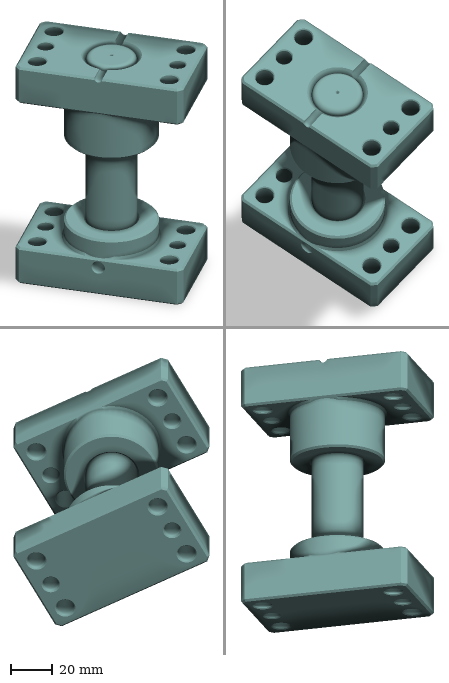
import cadquery as cq
HEIGHT = 120.2
PLATE_LENGTH = 84.0
PLATE_WIDTH = 48.0
PLATE_THICKNESS = 20.0
CORNER_CHAMFER = 2.4
EDGE_CHAMFER = 1.0

PIN_RADIUS = 12.5
PIN_END_FILLET = 3.0
CENTRE_RADIUS = 1.0

BOSS_RADIUS = PLATE_WIDTH / 2 - EDGE_CHAMFER
LOWER_BOSS_HEIGHT = 10.1
UPPER_BOSS_HEIGHT = 25.0
FLARE_WIDTH = 1.0
FLARE_HEIGHT = 1.2
BORE_MOUTH_CHAMFER = 1.0

HOLE_X = 33.0
SCREW_HOLE_Y = 15.0
SCREW_HOLE_RADIUS = 4.5
DOWEL_HOLE_RADIUS = 4.0
HOLE_CHAMFER = 0.5

CROSS_HOLE_RADIUS = 3.4
CROSS_HOLE_Z = 15.1

RECESS_DEPTH = 2.2
GROOVE_RADIUS = 2.0


def make_plate():
    """Chamfered plate standing on Z = 0."""
    plate = cq.Workplane("XY").box(PLATE_LENGTH, PLATE_WIDTH, PLATE_THICKNESS, centered=(True, True, False))
    plate = plate.edges("|Z").chamfer(CORNER_CHAMFER)
    return plate.faces("<Z or >Z").chamfer(EDGE_CHAMFER)


def make_cone(base_z, base_radius, height, top_radius):
    """Frustum along Z that starts at base_z."""
    profile = [
        (0, base_z),
        (base_radius, base_z),
        (top_radius, base_z + height),
        (0, base_z + height),
    ]
    return cq.Workplane("XZ").polyline(profile).close().revolve(360, (0, 0), (0, 1))


def make_boss(height):
    """Round boss on top of the plate, with a flared foot and a chamfered rim."""
    boss = cq.Workplane("XY").workplane(offset=PLATE_THICKNESS).circle(BOSS_RADIUS).extrude(height)
    boss = boss.faces(">Z").chamfer(EDGE_CHAMFER)
    flare = make_cone(PLATE_THICKNESS, BOSS_RADIUS + FLARE_WIDTH, FLARE_HEIGHT, BOSS_RADIUS)
    limit = (
        cq.Workplane("XY")
        .workplane(offset=PLATE_THICKNESS)
        .rect(PLATE_LENGTH - 2 * EDGE_CHAMFER, PLATE_WIDTH - 2 * EDGE_CHAMFER)
        .extrude(FLARE_HEIGHT, taper=45)
    )
    return boss.union(flare.intersect(limit))


def make_through_hole(x, y, radius):
    """Cutter for a plate hole with both mouths chamfered."""
    mouth_radius = radius + HOLE_CHAMFER
    hole = cq.Workplane("XY").circle(radius).extrude(PLATE_THICKNESS)
    hole = hole.union(make_cone(0, mouth_radius, HOLE_CHAMFER, radius))
    hole = hole.union(make_cone(PLATE_THICKNESS - HOLE_CHAMFER, radius, HOLE_CHAMFER, mouth_radius))
    return hole.translate((x, y, 0))


def make_housing(boss_height):
    """Plate with boss, pin bore and mounting holes, boss pointing up."""
    total_height = PLATE_THICKNESS + boss_height
    housing = make_plate().union(make_boss(boss_height))
    for x in (-HOLE_X, HOLE_X):
        housing = housing.cut(make_through_hole(x, 0, DOWEL_HOLE_RADIUS))
        for y in (-SCREW_HOLE_Y, SCREW_HOLE_Y):
            housing = housing.cut(make_through_hole(x, y, SCREW_HOLE_RADIUS))
    bore = cq.Workplane("XY").circle(PIN_RADIUS).extrude(total_height)
    mouth = make_cone(
        total_height - BORE_MOUTH_CHAMFER, PIN_RADIUS, BORE_MOUTH_CHAMFER, PIN_RADIUS + BORE_MOUTH_CHAMFER
    )
    return housing.cut(bore).cut(mouth)


def make_lower_housing():
    """Housing with a cross hole from the -Y side into the bore."""
    cross_hole = (
        cq.Workplane("XZ").center(0, CROSS_HOLE_Z).circle(CROSS_HOLE_RADIUS).extrude(PLATE_WIDTH / 2)
    )
    return make_housing(LOWER_BOSS_HEIGHT).cut(cross_hole)


def make_upper_housing():
    """Inverted housing with a conical recess and a lubrication groove in its top face."""
    housing = make_housing(UPPER_BOSS_HEIGHT).rotate((0, 0, 0), (1, 0, 0), 180).translate((0, 0, HEIGHT))
    recess = make_cone(HEIGHT - RECESS_DEPTH, PIN_RADIUS, RECESS_DEPTH, PIN_RADIUS + RECESS_DEPTH)
    groove = (
        cq.Workplane("XZ")
        .center(0, HEIGHT)
        .circle(GROOVE_RADIUS)
        .extrude(PLATE_WIDTH / 2, both=True)
    )
    return housing.cut(recess).cut(groove)


def make_pin():
    """Guide pin with a rounded top end and a small conical centre mark."""
    pin = cq.Workplane("XY").circle(PIN_RADIUS).extrude(HEIGHT)
    pin = pin.faces(">Z").edges().fillet(PIN_END_FILLET)
    centre_mark = cq.Workplane(cq.Solid.makeCone(0, CENTRE_RADIUS, CENTRE_RADIUS))
    return pin.cut(centre_mark.translate((0, 0, HEIGHT - CENTRE_RADIUS)))


lower_housing = make_lower_housing()
upper_housing = make_upper_housing()
pin = make_pin()

result = cq.Compound.makeCompound([lower_housing.val(), upper_housing.val(), pin.val()])